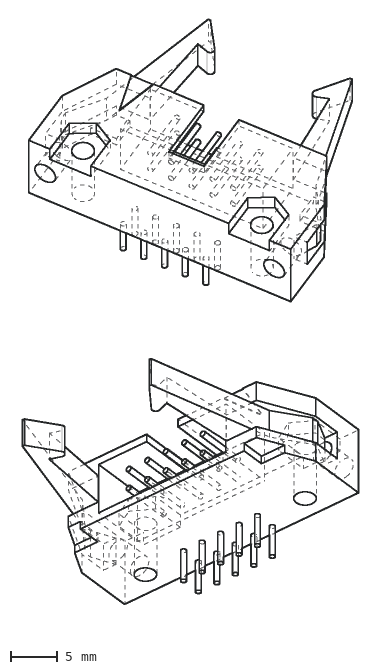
import cadquery as cq
import math


body_width = 32.0
body_depth = 13.5
body_height = 8.4
mating_face_width = 25.73
shoulder_y = 7.3
half_width = body_width / 2
mid_z = body_height / 2

wall = 1.0
cavity_width = 17.4
cavity_back_y = 6.95
key_width = 4.3
key_back_y = 5.85

pin_diameter = 0.65
pin_pitch = 2.53
pins_per_row = 5
pin_tip_y = 12.93
pin_tail_length = 4.0
front_tail_y = 1.05
pin_embed = 0.65

mount_x = 10.9
mount_y = 2.8
mount_diameter = 2.4
nut_across_flats = 5.0
nut_depth = 1.63
nut_corner_radius = nut_across_flats / math.sqrt(3)

latch_thickness = 3.5
latch_bottom_z = mid_z - latch_thickness / 2
latch_top_z = mid_z + latch_thickness / 2
latch_end_y = 3.65
latch_shoulder_y = 11.2
latch_foot_x = 15.6
latch_foot_y = 6.4
latch_tip = (-8.8, 26.37)
latch_tip_width = 0.3
latch_end_outer_x = 14.3
latch_end_inner_x = 9.45
arm_outer_x = 12.8
arm_inner_x = 8.77
hook_point = (-5.25, 21.8)
hook_root = (-8.03, 22.75)
hook_radius = 0.48
slot_inner_x = 10.25
rear_hole_diameter = 2.53
rear_hole_x = 14.0

notch_height = wall
notch_back_y = 10.55
notch_inner_x = 11.2

mark_x = -9.65
mark_width = 2.7
mark_length = 5.02
mark_depth = 0.1


def block(x_min, x_max, y_min, y_max, z_min, z_max):
    """Axis-aligned box between two opposite corners."""
    size = (x_max - x_min, y_max - y_min, z_max - z_min)
    return cq.Workplane("XY").box(*size, centered=False).translate((x_min, y_min, z_min))


def prism(outline, z_min, z_max):
    """Closed XY outline extruded from z_min to z_max."""
    return cq.Workplane("XY").workplane(offset=z_min).polyline(outline).close().extrude(z_max - z_min)


def rod_y(diameter, x, z, y_min, y_max):
    """Round rod along Y."""
    start = cq.Vector(x, y_min, z)
    return cq.Workplane(cq.Solid.makeCylinder(diameter / 2, y_max - y_min, start, cq.Vector(0, 1, 0)))


def rod_z(diameter, x, y, z_min, z_max):
    """Round rod along Z."""
    start = cq.Vector(x, y, z_min)
    return cq.Workplane(cq.Solid.makeCylinder(diameter / 2, z_max - z_min, start, cq.Vector(0, 0, 1)))


def both_sides(left_shape):
    """The given left-hand shape together with its mirror image in X."""
    return [left_shape, left_shape.mirror("YZ")]


def make_body():
    mating_half = mating_face_width / 2
    outline = [
        (-half_width, 0),
        (half_width, 0),
        (half_width, shoulder_y),
        (mating_half, body_depth),
        (-mating_half, body_depth),
        (-half_width, shoulder_y),
    ]
    return prism(outline, 0, body_height)


def make_cavity():
    half = cavity_width / 2
    return block(-half, half, cavity_back_y, body_depth, wall, body_height - wall)


def make_key_slot():
    half = key_width / 2
    return block(-half, half, key_back_y, body_depth, body_height - wall, body_height)


def make_latch_slot():
    return block(-half_width, -slot_inner_x, latch_end_y, body_depth, latch_bottom_z, latch_top_z)


def make_latch():
    """Left latch: flat end in the slot, arm leaning inward, hook with a rounded point."""
    tip_x, tip_y = latch_tip
    outline = [
        (-latch_end_outer_x, latch_end_y),
        (-latch_foot_x, latch_foot_y),
        (-latch_foot_x, shoulder_y),
        (-arm_outer_x, latch_shoulder_y),
        (tip_x, tip_y),
        (tip_x + latch_tip_width, tip_y),
        hook_point,
        hook_root,
        (-arm_inner_x, body_depth),
        (-latch_end_inner_x, latch_end_y),
    ]
    latch = prism(outline, latch_bottom_z, latch_top_z)
    hook_edge = cq.selectors.NearestToPointSelector((*hook_point, mid_z))
    return latch.edges("|Z").edges(hook_edge).fillet(hook_radius)


def make_mount_hole():
    return rod_z(mount_diameter, -mount_x, mount_y, 0, body_height)


def make_nut_pocket():
    """Hexagonal seat, pointed toward +Y and open through the rear face."""
    half = nut_across_flats / 2
    hole_x = -mount_x
    side_y = mount_y + nut_corner_radius / 2
    outline = [
        (hole_x - half, 0),
        (hole_x + half, 0),
        (hole_x + half, side_y),
        (hole_x, mount_y + nut_corner_radius),
        (hole_x - half, side_y),
    ]
    return prism(outline, body_height - nut_depth, body_height)


def make_rear_hole():
    """Round hole from the rear face into the latch slot."""
    return rod_y(rear_hole_diameter, -rear_hole_x, mid_z, 0, latch_end_y)


def make_notch():
    return block(-half_width, -notch_inner_x, notch_back_y, body_depth, 0, notch_height)


def make_pin_one_mark():
    outline = [
        (mark_x - mark_width / 2, body_depth),
        (mark_x, body_depth - mark_length),
        (mark_x + mark_width / 2, body_depth),
    ]
    return prism(outline, body_height - mark_depth, body_height)


def make_pins():
    """Two rows of contacts in the cavity and their two rows of tails below the body."""
    pins = []
    for column in range(pins_per_row):
        x = (column - (pins_per_row - 1) / 2) * pin_pitch
        for row in range(2):
            contact_z = mid_z + (row - 0.5) * pin_pitch
            tail_y = front_tail_y + row * pin_pitch
            pins.append(rod_y(pin_diameter, x, contact_z, cavity_back_y - pin_embed, pin_tip_y))
            pins.append(rod_z(pin_diameter, x, tail_y, -pin_tail_length, pin_embed))
    return pins


result = make_body().cut(make_cavity()).cut(make_key_slot()).cut(make_pin_one_mark())

for slot in both_sides(make_latch_slot()):
    result = result.cut(slot)
for latch in both_sides(make_latch()):
    result = result.union(latch)

for make_cutter in (make_mount_hole, make_nut_pocket, make_rear_hole, make_notch):
    for cutter in both_sides(make_cutter()):
        result = result.cut(cutter)

for pin in make_pins():
    result = result.union(pin)